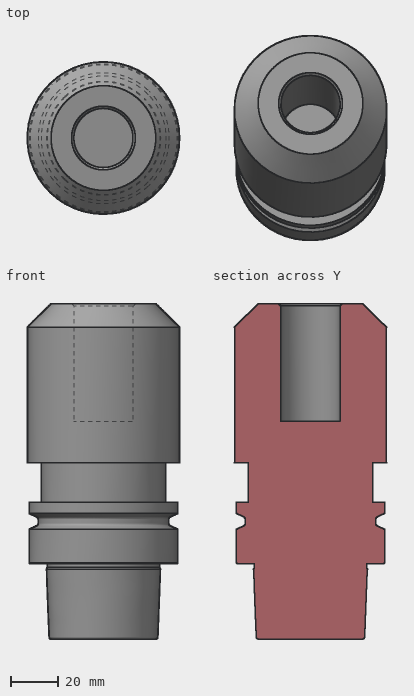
import cadquery as cq
import math

total_height = 141.9
flange_bottom = 31.9
flange_top = 58.0
body_bottom = 74.6
nose_height = 10.0

body_radius = 32.2
nose_radius = 22.4
neck_radius = 26.4
flange_radius = 31.5
shank_top_radius = 24.1
shank_bottom_radius = 23.0

nose_edge_break = 0.3
flange_edge_break = 0.4
shank_edge_fillet = 1.1

groove_radius = 27.7
groove_flank_angle = 25.0
upper_rim_thickness = 4.8
lower_rim_height = 14.6
groove_root_fillet = 0.9

relief_radius = 23.8
relief_height = 2.3
relief_flank = 0.9

bore_radius = 12.5
bore_depth = 49.7
bore_chamfer = 1.0

groove_flank_height = (flange_radius - groove_radius) * math.tan(math.radians(groove_flank_angle))
groove_top = flange_top - upper_rim_thickness
groove_bottom = flange_bottom + lower_rim_height


def revolve_outline(points):
    """Turn a closed (radius, height) outline around the Z axis."""
    return cq.Workplane("XZ").polyline(points).close().revolve(360, (0, 0, 0), (0, 1, 0))


def make_shank():
    """Tapered shank with a rounded end and a relief below the flange."""
    taper_top = flange_bottom - relief_height
    shank = revolve_outline([
        (0, 0),
        (shank_bottom_radius, 0),
        (shank_top_radius, taper_top),
        (relief_radius, taper_top + relief_flank),
        (relief_radius, flange_bottom),
        (0, flange_bottom),
    ])
    return shank.faces("<Z").edges().fillet(shank_edge_fillet)


def make_flange():
    """Flange with a V-flanked gripper groove, rounded at its root."""
    flange = (
        cq.Workplane("XY", origin=(0, 0, flange_bottom))
        .circle(flange_radius)
        .extrude(flange_top - flange_bottom)
        .faces("<Z").edges().chamfer(flange_edge_break)
    )
    groove = revolve_outline([
        (groove_radius, groove_bottom + groove_flank_height),
        (flange_radius, groove_bottom),
        (flange_radius, groove_top),
        (groove_radius, groove_top - groove_flank_height),
    ])
    grooved = flange.cut(groove)
    root_edges = cq.selectors.RadiusNthSelector(0)
    return grooved.edges(root_edges).fillet(groove_root_fillet)


def make_body():
    """Neck and cylindrical body with a conical nose."""
    nose_bottom = total_height - nose_height
    return revolve_outline([
        (0, flange_top),
        (neck_radius, flange_top),
        (neck_radius, body_bottom),
        (body_radius, body_bottom),
        (body_radius, nose_bottom),
        (nose_radius, total_height - nose_edge_break),
        (nose_radius - nose_edge_break, total_height),
        (0, total_height),
    ])


def make_bore():
    """Blind tool bore with a chamfered mouth."""
    bore_floor = total_height - bore_depth
    return revolve_outline([
        (0, bore_floor),
        (bore_radius, bore_floor),
        (bore_radius, total_height - bore_chamfer),
        (bore_radius + bore_chamfer, total_height),
        (0, total_height),
    ])


result = make_shank().union(make_flange()).union(make_body()).cut(make_bore())